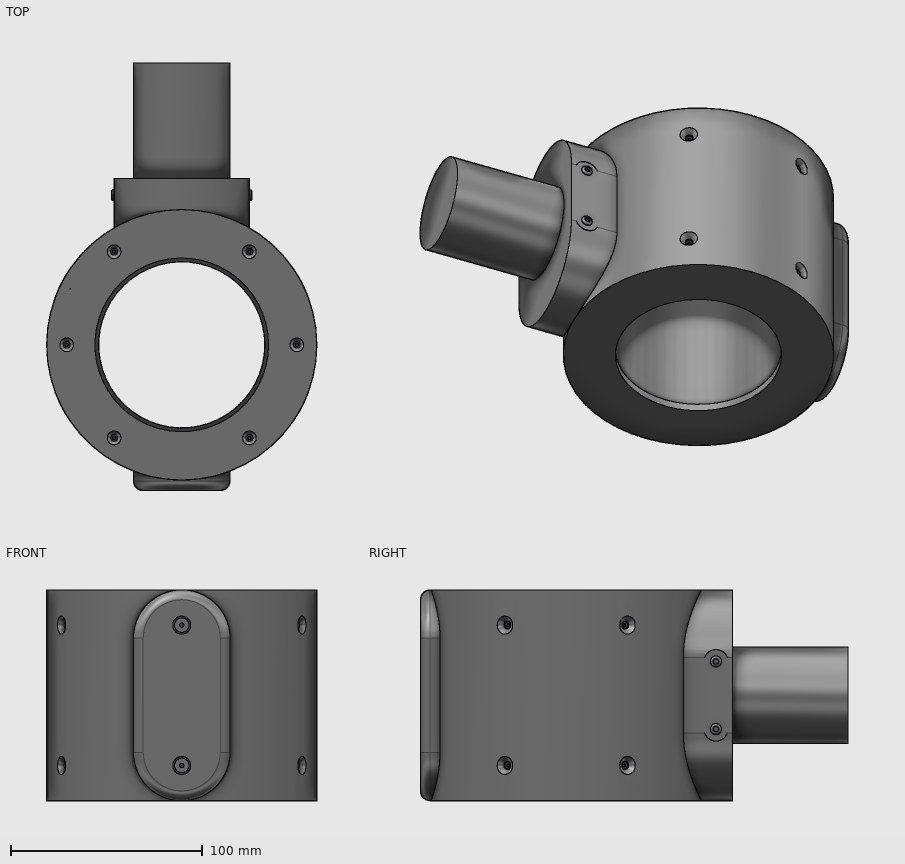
import cadquery as cq
import math

RING_HEIGHT = 110.0
RING_RADIUS = 70.5
BORE_RADIUS = 45.3
LIP_RADIUS = 43.3
LIP_HEIGHT = 4.5
TOP_Z = RING_HEIGHT / 2

TUBE_RADIUS = 25.2
TUBE_END_Y = 147.0
OVERALL_LENGTH = 223.2

COLLAR_WIDTH = 70.5
COLLAR_END_Y = 86.8

COLLAR_SCREW_Y = 78.1
COLLAR_SCREW_Z = 17.6
COLLAR_BOSS_RADIUS = 6.3
SCREW_HEAD_RADIUS = 3.0
SCREW_HEAD_HEIGHT = 1.3
SCREW_HEAD_FILLET = 1.1
SCREW_SOCKET_RADIUS = 1.3

PAD_WIDTH = 2 * TUBE_RADIUS
PAD_FACE_Y = TUBE_END_Y - OVERALL_LENGTH
PAD_FILLET = 5.1
PAD_SCREW_OUTER_RADIUS = 4.7
PAD_SCREW_INNER_RADIUS = 3.8
PAD_SCREW_GROOVE_DEPTH = 1.1
PAD_SOCKET_RADIUS = 1.1
PAD_SOCKET_DEPTH = 2.2

TOP_HOLE_CIRCLE_RADIUS = 60.0
TOP_HOLE_SPREAD = 54.0
TOP_SINK_RADIUS = 3.5
TOP_HOLE_RADIUS = 1.8
TOP_HOLE_DEPTH = 3.1

SIDE_HOLE_TILT = 27.0
SIDE_SINK_RADIUS = 4.7
SIDE_HOLE_RADIUS = 2.0
SIDE_HOLE_DEPTH = 4.0
SCREW_LEVEL_Z = 36.5

FLOOR_BORE_RADIUS = 1.0
FLOOR_BORE_DEPTH = 1.3

OVERSHOOT = 2.2


def stadium_along_y(width, start_y, end_y):
    """Upright stadium as tall as the ring, extruded from start_y to end_y."""
    return (
        cq.Workplane("XZ", origin=(0, start_y, 0))
        .slot2D(RING_HEIGHT, width, angle=90)
        .extrude(start_y - end_y)
    )


def disc(center, direction, radius, height):
    """Cylinder standing on center and pointing along direction."""
    return cq.Workplane(cq.Plane(center, normal=direction)).circle(radius).extrude(height)


def countersunk_cutter(mouth, inward, sink_radius, hole_radius, depth):
    """Round tool with a 45 degree countersink at mouth, then a hole with a narrow bore in its floor."""
    sink_depth = sink_radius - hole_radius
    profile = [
        (0, -OVERSHOOT),
        (sink_radius, -OVERSHOOT),
        (sink_radius, 0),
        (hole_radius, sink_depth),
        (hole_radius, depth),
        (FLOOR_BORE_RADIUS, depth),
        (FLOOR_BORE_RADIUS, depth + FLOOR_BORE_DEPTH),
        (0, depth + FLOOR_BORE_DEPTH),
    ]
    tool = cq.Workplane("XZ").polyline(profile).close().revolve(360, (0, 0), (0, 1))
    return cq.Workplane(tool.val().moved(cq.Location(cq.Plane(mouth, normal=inward))))


ring = cq.Workplane("XY", origin=(0, 0, -TOP_Z)).circle(RING_RADIUS).extrude(RING_HEIGHT)
collar = stadium_along_y(COLLAR_WIDTH, 0, COLLAR_END_Y)
tube = disc((0, 0, 0), (0, 1, 0), TUBE_RADIUS, TUBE_END_Y)
pad = stadium_along_y(PAD_WIDTH, 0, PAD_FACE_Y).faces("<Y").edges().fillet(PAD_FILLET)
body = ring.union(collar).union(tube).union(pad)

for side in (-1, 1):
    outward = (side, 0, 0)
    flat_x = side * COLLAR_WIDTH / 2
    for z in (-COLLAR_SCREW_Z, COLLAR_SCREW_Z):
        boss = disc((flat_x, COLLAR_SCREW_Y, z), (-side, 0, 0), COLLAR_BOSS_RADIUS, COLLAR_BOSS_RADIUS)
        head = disc((flat_x, COLLAR_SCREW_Y, z), outward, SCREW_HEAD_RADIUS, SCREW_HEAD_HEIGHT)
        head = head.faces(">X" if side > 0 else "<X").fillet(SCREW_HEAD_FILLET)
        socket = disc((flat_x, COLLAR_SCREW_Y, z), outward, SCREW_SOCKET_RADIUS, SCREW_HEAD_HEIGHT)
        body = body.union(boss).union(head).cut(socket)

bore = disc((0, 0, -TOP_Z + LIP_HEIGHT), (0, 0, 1), BORE_RADIUS, RING_HEIGHT)
lip_opening = disc((0, 0, -TOP_Z), (0, 0, 1), LIP_RADIUS, RING_HEIGHT)
body = body.cut(bore).cut(lip_opening)

for z in (-SCREW_LEVEL_Z, SCREW_LEVEL_Z):
    seat = (0, PAD_FACE_Y, z)
    groove = disc(seat, (0, 1, 0), PAD_SCREW_OUTER_RADIUS, PAD_SCREW_GROOVE_DEPTH).cut(
        disc(seat, (0, 1, 0), PAD_SCREW_INNER_RADIUS, PAD_SCREW_GROOVE_DEPTH)
    )
    socket = disc(seat, (0, 1, 0), PAD_SOCKET_RADIUS, PAD_SOCKET_DEPTH)
    body = body.cut(groove).cut(socket)

for half_turn in (0, 180):
    for offset in (-TOP_HOLE_SPREAD, 0, TOP_HOLE_SPREAD):
        angle = math.radians(half_turn + offset)
        mouth = (TOP_HOLE_CIRCLE_RADIUS * math.cos(angle), TOP_HOLE_CIRCLE_RADIUS * math.sin(angle), TOP_Z)
        body = body.cut(
            countersunk_cutter(mouth, (0, 0, -1), TOP_SINK_RADIUS, TOP_HOLE_RADIUS, TOP_HOLE_DEPTH)
        )

for half_turn in (0, 180):
    for tilt in (-SIDE_HOLE_TILT, SIDE_HOLE_TILT):
        angle = math.radians(half_turn + tilt)
        out_x = math.cos(angle)
        out_y = math.sin(angle)
        for z in (-SCREW_LEVEL_Z, SCREW_LEVEL_Z):
            mouth = (RING_RADIUS * out_x, RING_RADIUS * out_y, z)
            body = body.cut(
                countersunk_cutter(
                    mouth, (-out_x, -out_y, 0), SIDE_SINK_RADIUS, SIDE_HOLE_RADIUS, SIDE_HOLE_DEPTH
                )
            )

result = body